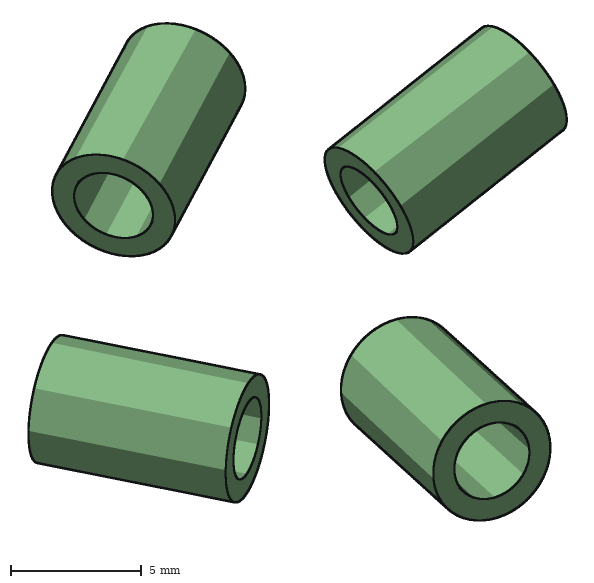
import cadquery as cq

outer_diameter = 5.0
bore_diameter = 3.2
length = 8.0


def make_sleeve():
    """Tube centred on the origin, with the bore passing right through."""
    back_face = cq.Workplane("XZ", origin=(0, length / 2, 0))
    ring = back_face.circle(outer_diameter / 2).circle(bore_diameter / 2)
    return ring.extrude(length)


result = make_sleeve()